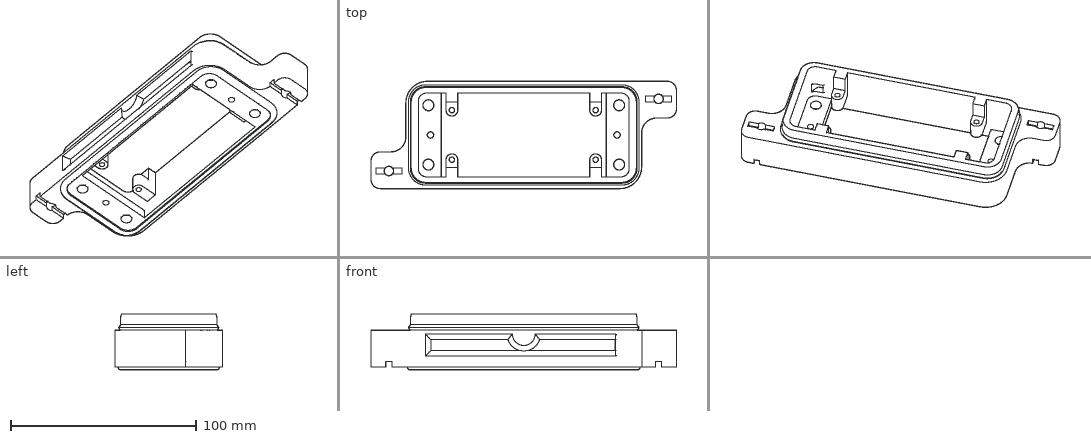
import cadquery as cq
import math

PLINTH_HEIGHT = 1.5
FLANGE_TOP = 21.5
TOTAL_HEIGHT = 30.2

OVERALL_LENGTH = 165.0
BODY_LENGTH = 127.4
BODY_WIDTH = 58.0
BODY_CORNER_RADIUS = 11.9
EAR_WIDTH = 20.0
EAR_CORNER_RADIUS = 5.1
EAR_INNER_RADIUS = 8.0

PLINTH_LENGTH = 125.7
PLINTH_WIDTH = 54.8
PLINTH_CORNER_RADIUS = 10.0
PLINTH_EDGE_RADIUS = 1.5

RIM_LENGTH = 122.5
RIM_WIDTH = 52.1
RIM_CORNER_RADIUS = 8.2
RIM_TAPER_HEIGHT = 2.0
RIM_TAPER_INSET = 0.5
BEAD_PROJECTION = 1.0
BEAD_CREST_HEIGHT = 1.5
BEAD_HEIGHT = 3.0
BEAD_CURVE_OFFSET = 0.2

CAVITY_LENGTH = 113.8
CAVITY_WIDTH = 45.2
CAVITY_CORNER_RADIUS = 4.5
UNDERSIDE_RECESS_DEPTH = 1.0
UNDERSIDE_RECESS_MARGIN = 1.6
LEDGE_SPACING = 88.8
LEDGE_TOP = 7.0
LEDGE_LARGE_HOLE_DIAMETER = 5.8
LEDGE_LARGE_HOLE_X = 51.5
LEDGE_LARGE_HOLE_Y = 16.0
LEDGE_SMALL_HOLE_DIAMETER = 3.3
LEDGE_SMALL_HOLE_X = 50.3

POST_X = 38.8
POST_HOLE_Y = 13.4
POST_WIDTH = 6.5
POST_BOTTOM = 12.2
POST_SEAT = 21.1
POST_HOLE_DIAMETER = 2.8
POST_BACK_FACE_Y = 17.7

EAR_HOLE_X = 72.8
EAR_HOLE_Y = 19.5
EAR_HOLE_DIAMETER = 5.0
EAR_SLOT_LENGTH = 14.2
EAR_SLOT_WIDTH = 3.1
EAR_SLOT_DEPTH = 3.0

CHANNEL_LEFT = -53.1
CHANNEL_DEPTH = 3.0
CHANNEL_BOTTOM = 7.5
CHANNEL_TOP = 19.3
BEND_X = 42.0
BEND_INNER_RADIUS = 8.9
BEND_OUTER_RADIUS = 14.0
TAB_RADIUS = 6.1

FRONT_Y = -BODY_WIDTH / 2


def rounded_block(length, width, radius, bottom, top):
    block = cq.Workplane("XY", origin=(0, 0, bottom)).rect(length, width).extrude(top - bottom)
    return block.edges("|Z").fillet(radius)


def block_between(x_range, y_range, z_range):
    sizes = [high - low for low, high in (x_range, y_range, z_range)]
    corner = (x_range[0], y_range[0], z_range[0])
    return cq.Workplane("XY").box(*sizes, centered=False).translate(corner)


def cylinder(x, y, diameter, bottom, top):
    return cq.Workplane("XY", origin=(x, y, bottom)).circle(diameter / 2).extrude(top - bottom)


def make_flange():
    end_x = OVERALL_LENGTH / 2
    side_x = BODY_LENGTH / 2
    side_y = BODY_WIDTH / 2
    ear_y = side_y - EAR_WIDTH
    outline = [
        (-end_x, -side_y), (side_x, -side_y), (side_x, ear_y),
        (end_x, ear_y), (end_x, side_y), (-side_x, side_y),
        (-side_x, -ear_y), (-end_x, -ear_y),
    ]
    flange = (
        cq.Workplane("XY", origin=(0, 0, PLINTH_HEIGHT))
        .polyline(outline).close().extrude(FLANGE_TOP - PLINTH_HEIGHT)
    )
    corner_groups = [
        (BODY_CORNER_RADIUS, [(side_x, -side_y)]),
        (EAR_INNER_RADIUS, [(side_x, ear_y)]),
        (EAR_CORNER_RADIUS, [(end_x, ear_y), (end_x, side_y)]),
    ]
    for radius, corners in corner_groups:
        for x, y in corners:
            for sign in (1, -1):
                corner = cq.selectors.NearestToPointSelector((sign * x, sign * y, FLANGE_TOP / 2))
                flange = flange.edges("|Z").edges(corner).fillet(radius)
    return flange


def make_plinth():
    plinth = rounded_block(PLINTH_LENGTH, PLINTH_WIDTH, PLINTH_CORNER_RADIUS, 0, FLANGE_TOP)
    return plinth.faces("<Z").edges().fillet(PLINTH_EDGE_RADIUS)


def make_rim():
    rim = rounded_block(RIM_LENGTH, RIM_WIDTH, RIM_CORNER_RADIUS, PLINTH_HEIGHT, TOTAL_HEIGHT)
    return rim.faces(">Z").edges().chamfer(RIM_TAPER_HEIGHT, RIM_TAPER_INSET)


def make_bead():
    """Bead with a sharp crest: hollow slope above it, rounded underside below it."""
    rim_x = RIM_LENGTH / 2
    crest_x = rim_x + BEAD_PROJECTION
    middle_x = rim_x + BEAD_PROJECTION / 2
    inner_x = (RIM_LENGTH + CAVITY_LENGTH) / 4
    crest_z = FLANGE_TOP + BEAD_CREST_HEIGHT
    top_z = FLANGE_TOP + BEAD_HEIGHT
    underside_middle = (middle_x + BEAD_CURVE_OFFSET, (FLANGE_TOP + crest_z) / 2)
    slope_middle = (middle_x - BEAD_CURVE_OFFSET, (crest_z + top_z) / 2)
    section = (
        cq.Workplane("XZ")
        .moveTo(inner_x, FLANGE_TOP)
        .lineTo(rim_x, FLANGE_TOP)
        .threePointArc(underside_middle, (crest_x, crest_z))
        .threePointArc(slope_middle, (rim_x, top_z))
        .lineTo(inner_x, top_z)
        .close()
    )
    path = rounded_block(RIM_LENGTH, RIM_WIDTH, RIM_CORNER_RADIUS, FLANGE_TOP, TOTAL_HEIGHT)
    return section.sweep(path.faces("<Z").wires())


def make_cavity():
    cavity = rounded_block(CAVITY_LENGTH, CAVITY_WIDTH, CAVITY_CORNER_RADIUS, 0, TOTAL_HEIGHT)
    for side in (1, -1):
        inner_x = side * LEDGE_SPACING / 2
        outer_x = side * BODY_LENGTH / 2
        ledge = block_between(
            sorted((inner_x, outer_x)), (FRONT_Y, -FRONT_Y), (0, LEDGE_TOP),
        )
        cavity = cavity.cut(ledge)
    recess = rounded_block(
        CAVITY_LENGTH + 2 * UNDERSIDE_RECESS_MARGIN, CAVITY_WIDTH + 2 * UNDERSIDE_RECESS_MARGIN,
        CAVITY_CORNER_RADIUS + UNDERSIDE_RECESS_MARGIN, 0, UNDERSIDE_RECESS_DEPTH,
    )
    return cavity.union(recess)


def make_ledge_holes():
    holes = cq.Workplane("XY")
    for side in (1, -1):
        holes = holes.add(cylinder(
            side * LEDGE_SMALL_HOLE_X, 0, LEDGE_SMALL_HOLE_DIAMETER, 0, LEDGE_TOP))
        for y in (LEDGE_LARGE_HOLE_Y, -LEDGE_LARGE_HOLE_Y):
            holes = holes.add(cylinder(
                side * LEDGE_LARGE_HOLE_X, y, LEDGE_LARGE_HOLE_DIAMETER, 0, LEDGE_TOP))
    return holes.combine()


def make_post():
    """One screw post on the +X, +Y side: a round-nosed seat and a full-height back block."""
    x_range = (POST_X - POST_WIDTH / 2, POST_X + POST_WIDTH / 2)
    wall_y = (RIM_WIDTH + CAVITY_WIDTH) / 4
    seat = block_between(x_range, (POST_HOLE_Y, wall_y), (POST_BOTTOM, POST_SEAT))
    nose = cylinder(POST_X, POST_HOLE_Y, POST_WIDTH, POST_BOTTOM, POST_SEAT)
    back = block_between(x_range, (POST_BACK_FACE_Y, wall_y), (POST_BOTTOM, TOTAL_HEIGHT))
    hole = cylinder(POST_X, POST_HOLE_Y, POST_HOLE_DIAMETER, POST_BOTTOM, POST_SEAT)
    return seat.union(nose).union(back).cut(hole)


def make_ear_cutout():
    """Hole, top slot and underside groove of the +X ear."""
    hole = cylinder(EAR_HOLE_X, EAR_HOLE_Y, EAR_HOLE_DIAMETER, PLINTH_HEIGHT, FLANGE_TOP)
    half_slot = EAR_SLOT_WIDTH / 2
    slot = block_between(
        (EAR_HOLE_X - EAR_SLOT_LENGTH / 2, EAR_HOLE_X + EAR_SLOT_LENGTH / 2),
        (EAR_HOLE_Y - half_slot, EAR_HOLE_Y + half_slot),
        (FLANGE_TOP - EAR_SLOT_DEPTH, FLANGE_TOP),
    )
    groove = block_between(
        (EAR_HOLE_X - half_slot, EAR_HOLE_X + half_slot),
        (0, BODY_WIDTH / 2),
        (PLINTH_HEIGHT, PLINTH_HEIGHT + EAR_SLOT_DEPTH),
    )
    return hole.union(slot).union(groove)


def make_channel():
    floor_y = FRONT_Y + CHANNEL_DEPTH
    floor_bottom = CHANNEL_BOTTOM + CHANNEL_DEPTH
    floor_top = CHANNEL_TOP - CHANNEL_DEPTH
    bend_y = floor_y + BEND_INNER_RADIUS
    bend_right = BEND_X + BEND_OUTER_RADIUS

    section = [
        (FRONT_Y, CHANNEL_BOTTOM), (floor_y, floor_bottom),
        (floor_y, floor_top), (FRONT_Y, CHANNEL_TOP),
    ]
    run = (
        cq.Workplane("YZ", origin=(CHANNEL_LEFT, 0, 0))
        .polyline(section).close().extrude(bend_right - CHANNEL_LEFT)
    )
    front_right = BEND_X + math.sqrt(BEND_OUTER_RADIUS ** 2 - (bend_y - FRONT_Y) ** 2)
    floor_right = BEND_X + math.sqrt(BEND_OUTER_RADIUS ** 2 - BEND_INNER_RADIUS ** 2)
    middle_y = FRONT_Y + CHANNEL_DEPTH / 2
    middle_right = BEND_X + math.sqrt(BEND_OUTER_RADIUS ** 2 - (bend_y - middle_y) ** 2)
    plan = (
        cq.Workplane("XY")
        .moveTo(CHANNEL_LEFT, FRONT_Y)
        .lineTo(front_right, FRONT_Y)
        .threePointArc((middle_right, middle_y), (floor_right, floor_y))
        .lineTo(CHANNEL_LEFT + CHANNEL_DEPTH, floor_y)
        .close().extrude(TOTAL_HEIGHT)
    )
    run = run.intersect(plan)

    tab = cq.Workplane("XY").add(cq.Solid.makeCone(
        TAB_RADIUS, TAB_RADIUS + CHANNEL_DEPTH, CHANNEL_DEPTH,
        pnt=cq.Vector(0, FRONT_Y, CHANNEL_TOP), dir=cq.Vector(0, 1, 0),
    ))

    height = floor_top - floor_bottom
    ring = (
        cq.Workplane("XY", origin=(BEND_X, bend_y, floor_bottom))
        .circle(BEND_OUTER_RADIUS).circle(BEND_INNER_RADIUS).extrude(height)
    )
    quarter = block_between((BEND_X, bend_right), (floor_y, bend_y), (floor_bottom, floor_top))
    return run.cut(tab).union(ring.intersect(quarter))


result = make_flange().union(make_plinth()).union(make_rim()).union(make_bead())
result = result.cut(make_cavity()).cut(make_ledge_holes())

post = make_post()
opposite_post = post.mirror("XZ")
for one_post in (post, opposite_post):
    result = result.union(one_post).union(one_post.mirror("YZ"))

ear_cutout = make_ear_cutout()
for angle in (0, 180):
    result = result.cut(ear_cutout.rotate((0, 0, 0), (0, 0, 1), angle))

result = result.cut(make_channel())